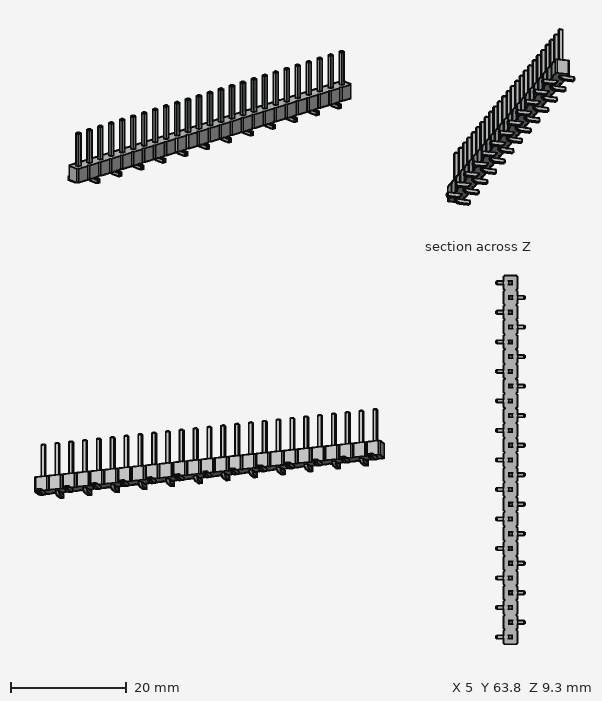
import cadquery as cq

pin_count = 25
pitch = 2.55
body_width = 2.5
body_height = 2.55
notch_size = 0.25

pin_size = 0.65
total_height = 9.3
foot_span = 5.0
tip_chamfer = 0.2
bend_outer_radius = 1.0
bend_inner_radius = bend_outer_radius - pin_size

body_bottom = pin_size
row_length = pin_count * pitch
half_pin = pin_size / 2
foot_reach = foot_span / 2
bend_center_x = half_pin - bend_outer_radius


def make_segment():
    """Housing block around one pin, with chamfered vertical corners."""
    block = cq.Workplane("XY").box(body_width, pitch, body_height, centered=(True, True, False))
    return block.edges("|Z").chamfer(notch_size).translate((0, 0, body_bottom))


def make_pin():
    """Square wire pin bent through 90 degrees, with its foot pointing to -X."""
    wire = (
        cq.Workplane("XZ")
        .moveTo(half_pin, total_height)
        .lineTo(half_pin, bend_outer_radius)
        .radiusArc((bend_center_x, 0), bend_outer_radius)
        .lineTo(-foot_reach, 0)
        .lineTo(-foot_reach, pin_size)
        .lineTo(bend_center_x, pin_size)
        .radiusArc((-half_pin, bend_outer_radius), -bend_inner_radius)
        .lineTo(-half_pin, total_height)
        .close()
        .extrude(half_pin, both=True)
    )
    upper_tip_chamfered = wire.faces(">Z").chamfer(tip_chamfer)
    return upper_tip_chamfered.faces("<X").chamfer(tip_chamfer)


segment = make_segment()
left_pin = make_pin()
right_pin = left_pin.rotate((0, 0, 0), (0, 0, 1), 180)

segments = []
pins = []
for index in range(pin_count):
    y = (index + 0.5) * pitch - row_length / 2
    pin = left_pin if index % 2 == 0 else right_pin
    segments.append(segment.translate((0, y, 0)).val())
    pins.append(pin.translate((0, y, 0)).val())

housing = segments[0].fuse(*segments[1:]).clean()
connector = housing.fuse(*pins)
result = cq.Workplane("XY").newObject(connector.Solids())